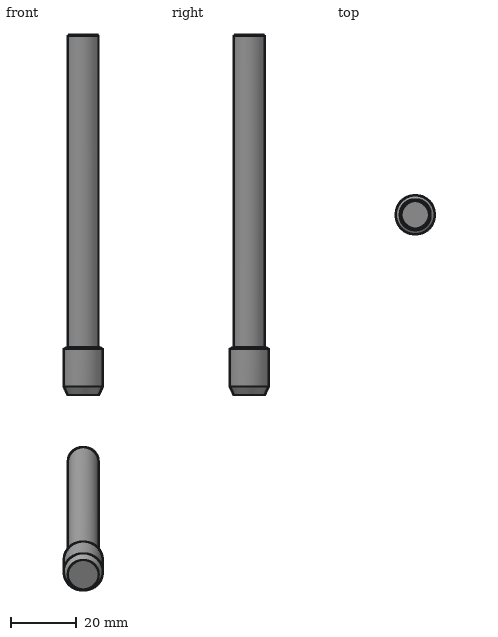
import cadquery as cq

total_length = 110.0

tip_diameter = 12.0
tip_end_diameter = 9.5
tip_length = 14.7
tip_taper_height = 2.6
shoulder_height = 0.7

rod_diameter = 9.5
rod_chamfer = 0.5
rod_length = total_length - tip_length


def make_tip():
    """Revolved foot with a tapered lower end and a conical shoulder up to the rod."""
    tip_radius = tip_diameter / 2
    return (
        cq.Workplane("XZ")
        .lineTo(tip_end_diameter / 2, 0)
        .lineTo(tip_radius, tip_taper_height)
        .lineTo(tip_radius, tip_length - shoulder_height)
        .lineTo(rod_diameter / 2, tip_length)
        .lineTo(0, tip_length)
        .close()
        .revolve(360, (0, 0, 0), (0, 1, 0))
    )


def make_rod():
    """Round shaft with a chamfered top edge."""
    return (
        cq.Workplane("XY", origin=(0, 0, tip_length))
        .circle(rod_diameter / 2)
        .extrude(rod_length)
        .faces(">Z")
        .chamfer(rod_chamfer)
    )


tip = make_tip()
rod = make_rod()

result = cq.Compound.makeCompound([tip.val(), rod.val()])